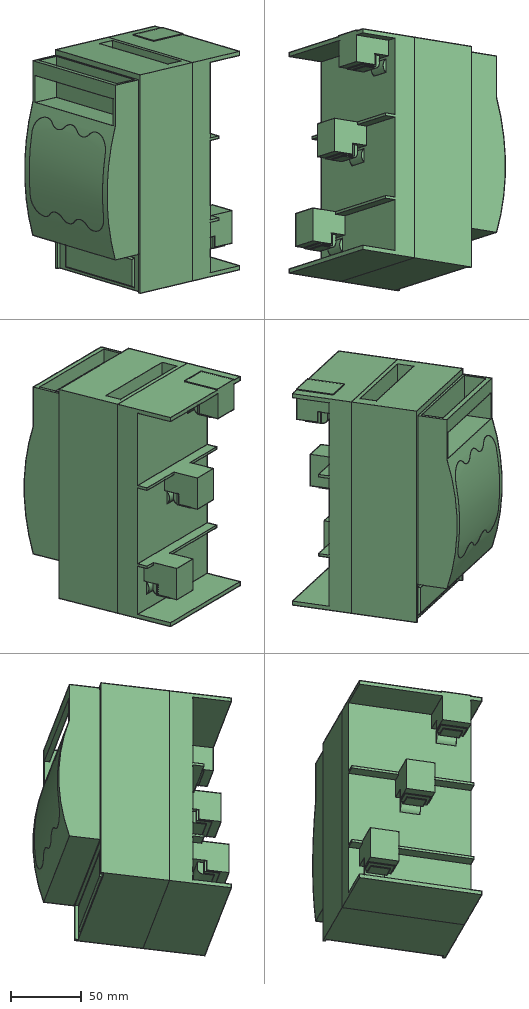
import cadquery as cq


WIDTH = 90.0
TOTAL_HEIGHT = 161.0
LABEL_THICKNESS = 0.6
HEIGHT = TOTAL_HEIGHT - LABEL_THICKNESS

PLATE_THICKNESS = 3.0
BASE_REAR = 27.9
BASE_FRONT = 44.8
LABEL_LEFT = -37.0
LABEL_WIDTH = 21.7

POLES = 3
BUSBAR_PITCH = 60.0
POLE_PITCH = 26.5
HOOK_WIDTH = 21.0
HOOK_HEIGHT = 24.0
LOWEST_HOOK_BOTTOM = 17.9
HOOK_TIP_DEPTH = 16.1
HOOK_THROAT_HEIGHT = 8.0
LINING_START = 6.5
LINING_THICKNESS = 1.6
LINING_DROP = 0.8
LINING_INSET = 0.8
CLAW_START = 10.0
CLAW_END = 22.2
CLAW_DROP = 1.6
CLAW_INSET = 3.2
CLAW_RADIUS = 4.0
SHELF_DEPTH = 8.0
SHELF_THICKNESS = 2.0
PRESSURE_RIB_RADIUS = 6.5
PRESSURE_RIB_HEIGHT = 1.5
PRESSURE_RIB_RISE = 2.3

HOUSING_FRONT = 94.3
SLOT_WIDTH = 72.8
SLOT_START = 48.0
SLOT_LENGTH = 12.4
SLOT_DEPTH = 16.1
SIDE_LIP = 2.0
RECESS_DEPTH = 2.4
BOSS_WIDTH = SLOT_WIDTH
BOSS_BOTTOM = 2.0
BOSS_HEIGHT = 21.9
BOSS_RISE = 1.5
BOSS_SLOPE = 1.1

LID_GAP = 0.5
LID_BACK = HOUSING_FRONT + LID_GAP
LID_FLAT = 116.9
LID_PEAK = 124.6
LID_WIDTH = 87.7
LID_BOTTOM = 28.5
LID_TOP = 156.7
BULGE_TOP = 126.5
POCKET_WIDTH = 82.8
POCKET_START = 96.8
POCKET_END = 113.0
WINDOW_TOP = 146.2

GRIP_HALF_WIDTH = 39.0
GRIP_BOTTOM = 47.0
GRIP_TOP = 119.0
GRIP_CORNER = 12.9
WAVE_PITCH = GRIP_HALF_WIDTH - GRIP_CORNER
WAVE_HEIGHT = 5.8
GRIP_THICKNESS = 1.6


def block(left, width, near, far, bottom, top):
    """Box from depth near to depth far, counted from the rear edge."""
    return cq.Workplane("XY").box(width, far - near, top - bottom, centered=False).translate((left, -far, bottom))


def centred_block(width, near, far, bottom, top):
    return block(-width / 2, width, near, far, bottom, top)


def side_profile(left):
    """Sketch plane seen along X at the given place, with local x = Y and local y = Z."""
    return cq.Workplane("YZ", origin=(left, 0, 0))


def make_hook(left, bottom, top):
    """Busbar hook: stepped block, thin lining, rounded claw and pressure rib."""
    throat = bottom + HOOK_THROAT_HEIGHT
    tip = block(left, HOOK_WIDTH, 0, HOOK_TIP_DEPTH, bottom, top)
    neck = block(left, HOOK_WIDTH, 0, BASE_REAR, throat, top)
    lining = block(
        left + LINING_INSET, HOOK_WIDTH - 2 * LINING_INSET,
        LINING_START, HOOK_TIP_DEPTH + LINING_THICKNESS, bottom - LINING_DROP, throat,
    )
    claw_left = left + CLAW_INSET
    claw_width = HOOK_WIDTH - 2 * CLAW_INSET
    claw = block(claw_left, claw_width, CLAW_START, CLAW_END, bottom - CLAW_DROP, throat)
    claw = claw.edges("|X and <Y and <Z").fillet(CLAW_RADIUS)
    rib_axis_y = -BASE_REAR + PRESSURE_RIB_RISE - PRESSURE_RIB_RADIUS
    rib = (
        side_profile(claw_left)
        .center(rib_axis_y, bottom + PRESSURE_RIB_HEIGHT)
        .circle(PRESSURE_RIB_RADIUS)
        .extrude(claw_width)
    )
    return neck.union(tip).union(lining).union(claw).union(rib)


def make_base():
    """Rear block with top and bottom plates, raised label, and a hook and shelf for each pole."""
    base = centred_block(WIDTH, BASE_REAR, BASE_FRONT, 0, HEIGHT)
    base = base.union(centred_block(WIDTH, 0, BASE_REAR, 0, PLATE_THICKNESS))
    base = base.union(centred_block(WIDTH, 0, BASE_REAR, HEIGHT - PLATE_THICKNESS, HEIGHT))
    base = base.union(block(LABEL_LEFT, LABEL_WIDTH, 0, BASE_REAR, HEIGHT, TOTAL_HEIGHT))
    shelf_start = BASE_REAR - SHELF_DEPTH
    for pole in range(POLES):
        left = ((POLES - 1) / 2 - pole) * POLE_PITCH - HOOK_WIDTH / 2
        bottom = LOWEST_HOOK_BOTTOM + pole * BUSBAR_PITCH
        top = min(bottom + HOOK_HEIGHT, HEIGHT)
        base = base.union(make_hook(left, bottom, top))
        base = base.union(centred_block(WIDTH, shelf_start, BASE_REAR, top - SHELF_THICKNESS, top))
    return base


def make_housing():
    """Block with a slot in its top and a tapered boss in a shallow recess below the lid."""
    housing = centred_block(WIDTH, BASE_FRONT, HOUSING_FRONT, 0, HEIGHT)
    slot_end = SLOT_START + SLOT_LENGTH
    housing = housing.cut(centred_block(SLOT_WIDTH, SLOT_START, slot_end, HEIGHT - SLOT_DEPTH, HEIGHT))
    recess_floor = HOUSING_FRONT - RECESS_DEPTH
    recess = centred_block(WIDTH - 2 * SIDE_LIP, recess_floor, HOUSING_FRONT, 0, LID_BOTTOM)
    boss = (
        cq.Workplane("XZ", origin=(0, -recess_floor, BOSS_BOTTOM + BOSS_HEIGHT / 2))
        .rect(BOSS_WIDTH, BOSS_HEIGHT)
        .workplane(offset=BOSS_RISE)
        .rect(BOSS_WIDTH - 2 * BOSS_SLOPE, BOSS_HEIGHT - 2 * BOSS_SLOPE)
        .loft(ruled=True)
    )
    return housing.cut(recess).union(boss)


def make_lid_blank():
    """Lid without openings: flat upper front and a bulging lower front."""
    return (
        side_profile(-LID_WIDTH / 2)
        .moveTo(-LID_BACK, LID_BOTTOM)
        .lineTo(-LID_FLAT, LID_BOTTOM)
        .threePointArc((-LID_PEAK, (LID_BOTTOM + BULGE_TOP) / 2), (-LID_FLAT, BULGE_TOP))
        .lineTo(-LID_FLAT, LID_TOP)
        .lineTo(-LID_BACK, LID_TOP)
        .close()
        .extrude(LID_WIDTH)
    )


def wave_edge(outline, direction, crest):
    """Three crests and two troughs between two rounded corners, running in the given X direction."""
    middle = crest - direction * WAVE_HEIGHT / 2
    outline = outline.tangentArcPoint((-direction * WAVE_PITCH, crest), relative=False)
    for quarter in (-3, -1, 1, 3):
        outline = outline.tangentArcPoint((direction * quarter * WAVE_PITCH / 4, middle), relative=False)
    outline = outline.tangentArcPoint((direction * WAVE_PITCH, crest), relative=False)
    end = crest - direction * GRIP_CORNER
    return outline.tangentArcPoint((direction * GRIP_HALF_WIDTH, end), relative=False)


def make_grip(lid_blank):
    """Skin of the bulge inside the wavy outline."""
    outline = (
        cq.Workplane("XZ")
        .moveTo(-GRIP_HALF_WIDTH, GRIP_BOTTOM + GRIP_CORNER)
        .lineTo(-GRIP_HALF_WIDTH, GRIP_TOP - GRIP_CORNER)
    )
    outline = wave_edge(outline, 1, GRIP_TOP)
    outline = outline.lineTo(GRIP_HALF_WIDTH, GRIP_BOTTOM + GRIP_CORNER)
    outline = wave_edge(outline, -1, GRIP_BOTTOM)
    prism = outline.close().extrude(LID_PEAK)
    return prism.intersect(lid_blank).cut(lid_blank.translate((0, GRIP_THICKNESS, 0)))


def make_lid(lid_blank, grip):
    """Lid with a pocket open at the top, a window in its front wall and a bed for the grip."""
    pocket = centred_block(POCKET_WIDTH, POCKET_START, POCKET_END, BULGE_TOP, LID_TOP)
    window = centred_block(POCKET_WIDTH, POCKET_START, LID_FLAT, BULGE_TOP, WINDOW_TOP)
    return lid_blank.cut(pocket).cut(window).cut(grip)


base = make_base()
housing = make_housing()
lid_blank = make_lid_blank()
grip = make_grip(lid_blank)
lid = make_lid(lid_blank, grip)

bodies = [base, housing, lid, grip]
result = cq.Compound.makeCompound([body.solids().val() for body in bodies])